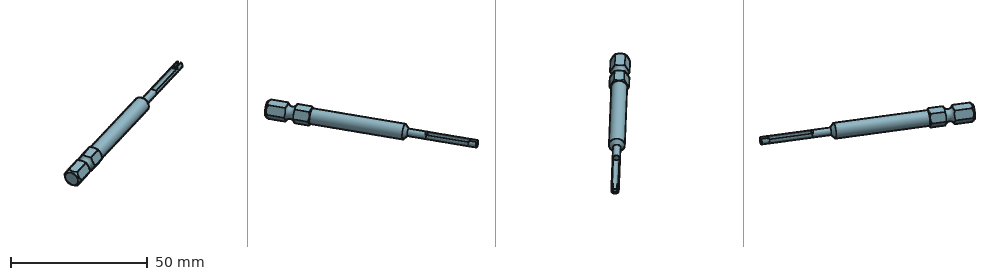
import cadquery as cq
import math

total_length = 80.0

hex_height = 6.3
hex_corner_radius = hex_height / math.sqrt(3)
hex_length = 17.0
back_face_radius = 2.7
back_chamfer_length = 1.1
front_chamfer_length = 0.6
groove_center = 9.4
groove_width = 3.6
groove_radius = 2.3

body_radius = 3.0
cone_end = 53.7
rod_radius = 1.4
cone_length = body_radius - rod_radius
tip_chamfer = 0.3

channel_start = 60.2
channel_end = 77.4
channel_radius = 1.08
channel_end_rise = 0.6
channel_axis_z = 0.3
channel_floor_z = channel_axis_z - channel_radius

slot_width = 1.4
slot_floor_z = -0.4
slot_overlap = 0.8


def make_hex_drive():
    """Hexagonal bar trimmed by a turned envelope with end chamfers and a groove."""
    bar = (
        cq.Workplane("XZ")
        .polygon(6, 2 * hex_corner_radius)
        .extrude(-hex_length)
    )
    envelope = (
        cq.Workplane("XY")
        .moveTo(0, 0)
        .lineTo(back_face_radius, 0)
        .lineTo(hex_corner_radius, back_chamfer_length)
        .lineTo(hex_corner_radius, groove_center - groove_width / 2)
        .threePointArc(
            (groove_radius, groove_center),
            (hex_corner_radius, groove_center + groove_width / 2),
        )
        .lineTo(hex_corner_radius, hex_length - front_chamfer_length)
        .lineTo(body_radius, hex_length)
        .lineTo(0, hex_length)
        .close()
        .revolve(360, (0, 0), (0, 1))
    )
    return bar.intersect(envelope)


def make_shaft():
    """Turned body, cone and slim rod ahead of the hex drive."""
    return (
        cq.Workplane("XY")
        .moveTo(0, hex_length)
        .lineTo(body_radius, hex_length)
        .lineTo(body_radius, cone_end - cone_length)
        .lineTo(rod_radius, cone_end)
        .lineTo(rod_radius, total_length - tip_chamfer)
        .lineTo(rod_radius - tip_chamfer, total_length)
        .lineTo(0, total_length)
        .close()
        .revolve(360, (0, 0), (0, 1))
    )


def make_channel_cutter():
    """Round-bottomed, open-topped trough with bowed vertical ends and a narrow tongue into the slot."""
    length = channel_end + slot_overlap - channel_start
    trough = (
        cq.Workplane("XZ", origin=(0, channel_start, 0))
        .moveTo(-channel_radius, rod_radius)
        .lineTo(-channel_radius, channel_axis_z)
        .threePointArc((0, channel_floor_z), (channel_radius, channel_axis_z))
        .lineTo(channel_radius, rod_radius)
        .close()
        .extrude(-length)
    )
    footprint = (
        cq.Workplane("XY", origin=(0, 0, channel_floor_z))
        .moveTo(-channel_radius, channel_start + channel_end_rise)
        .threePointArc((0, channel_start), (channel_radius, channel_start + channel_end_rise))
        .lineTo(channel_radius, channel_end - channel_end_rise)
        .threePointArc((0, channel_end), (-channel_radius, channel_end - channel_end_rise))
        .close()
        .extrude(rod_radius - channel_floor_z)
    )
    tongue = (
        cq.Workplane("XY", origin=(0, 0, channel_floor_z))
        .moveTo(-slot_width / 2, channel_end - channel_end_rise)
        .lineTo(-slot_width / 2, channel_end + slot_overlap)
        .lineTo(slot_width / 2, channel_end + slot_overlap)
        .lineTo(slot_width / 2, channel_end - channel_end_rise)
        .close()
        .extrude(rod_radius - channel_floor_z)
    )
    return trough.intersect(footprint.union(tongue))


def make_tip_slot_cutter():
    """Straight slot open at the tip and the top."""
    length = total_length - channel_end
    height = rod_radius - slot_floor_z
    return cq.Workplane("XY").box(slot_width, length, height, centered=(True, False, False)).translate(
        (0, channel_end, slot_floor_z)
    )


result = (
    make_hex_drive()
    .union(make_shaft())
    .cut(make_channel_cutter())
    .cut(make_tip_slot_cutter())
)